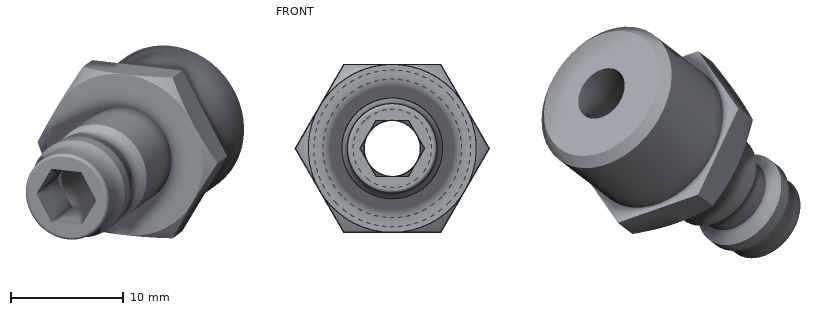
import cadquery as cq
import math


SHANK_LENGTH = 9.0
HEX_LENGTH = 3.0
STEM_LENGTH = 6.0
GROOVE_FLOOR_LENGTH = 2.0
SPIGOT_LENGTH = 14.0
TIP_LAND_LENGTH = 1.0

SHANK_DIAMETER = 14.0
HEX_ACROSS_FLATS = 15.0
STEM_DIAMETER = 9.0
GROOVE_DIAMETER = 7.0
TIP_DIAMETER = 8.0
BORE_DIAMETER = 5.0
SOCKET_ACROSS_FLATS = 5.0
SOCKET_DEPTH = 5.0

SHANK_CHAMFER = 0.812
HEX_BEVEL_ANGLE = 30.0
TIP_FILLET = 0.3
FLARE_RADIUS = 3.5

HEX_FRONT_Y = SPIGOT_LENGTH
HEX_BACK_Y = HEX_FRONT_Y + HEX_LENGTH
SHANK_END_Y = HEX_BACK_Y + SHANK_LENGTH
STEM_FRONT_Y = HEX_FRONT_Y - STEM_LENGTH

STEM_RADIUS = STEM_DIAMETER / 2
GROOVE_RADIUS = GROOVE_DIAMETER / 2
GROOVE_DEPTH = STEM_RADIUS - GROOVE_RADIUS
GROOVE_BACK_Y = STEM_FRONT_Y - GROOVE_DEPTH
GROOVE_FRONT_Y = GROOVE_BACK_Y - GROOVE_FLOOR_LENGTH
COLLAR_BACK_Y = GROOVE_FRONT_Y - GROOVE_DEPTH

TIP_RADIUS = TIP_DIAMETER / 2
FLARE_ANGLE = math.acos(1 - (STEM_RADIUS - TIP_RADIUS) / FLARE_RADIUS)
COLLAR_FRONT_Y = TIP_LAND_LENGTH + FLARE_RADIUS * math.sin(FLARE_ANGLE)


def flare_point(angle):
    """Point (radius, Y) on the flare arc, at an angle from the tip land."""
    radius = TIP_RADIUS + FLARE_RADIUS * (1 - math.cos(angle))
    y = TIP_LAND_LENGTH + FLARE_RADIUS * math.sin(angle)
    return (radius, y)


def revolve_about_y(profile):
    """Close a half profile along the axis and turn it about Y."""
    return profile.close().revolve(360, (0, 0, 0), (0, 1, 0))


def hex_prism(across_flats, start_y, length):
    """Hexagonal prism along Y with corners on +X and -X."""
    half_side_angle = math.pi / 6
    across_corners = across_flats / math.cos(half_side_angle)
    section = cq.Workplane("XZ", origin=(0, start_y, 0)).polygon(6, across_corners)
    return section.extrude(-length)


def make_spigot():
    """Stem, groove, collar, flare and tip, turned as one profile."""
    fillet_mid = TIP_FILLET * (1 - math.sqrt(0.5))
    profile = (
        cq.Workplane("XY")
        .moveTo(0, 0)
        .lineTo(TIP_RADIUS - TIP_FILLET, 0)
        .threePointArc((TIP_RADIUS - fillet_mid, fillet_mid), (TIP_RADIUS, TIP_FILLET))
        .lineTo(TIP_RADIUS, TIP_LAND_LENGTH)
        .threePointArc(flare_point(FLARE_ANGLE / 2), (STEM_RADIUS, COLLAR_FRONT_Y))
        .lineTo(STEM_RADIUS, COLLAR_BACK_Y)
        .lineTo(GROOVE_RADIUS, GROOVE_FRONT_Y)
        .lineTo(GROOVE_RADIUS, GROOVE_BACK_Y)
        .lineTo(STEM_RADIUS, STEM_FRONT_Y)
        .lineTo(STEM_RADIUS, HEX_FRONT_Y)
        .lineTo(0, HEX_FRONT_Y)
    )
    return revolve_about_y(profile)


def make_hex_flange():
    """Hexagon whose front corners are turned down to a circle touching the flats."""
    face_radius = HEX_ACROSS_FLATS / 2
    back_radius = face_radius + HEX_LENGTH / math.tan(math.radians(HEX_BEVEL_ANGLE))
    bevel_cone = revolve_about_y(
        cq.Workplane("XY")
        .moveTo(0, HEX_FRONT_Y)
        .lineTo(face_radius, HEX_FRONT_Y)
        .lineTo(back_radius, HEX_BACK_Y)
        .lineTo(0, HEX_BACK_Y)
    )
    return hex_prism(HEX_ACROSS_FLATS, HEX_FRONT_Y, HEX_LENGTH).intersect(bevel_cone)


def make_shank():
    section = cq.Workplane("XZ", origin=(0, HEX_BACK_Y, 0)).circle(SHANK_DIAMETER / 2)
    shank = section.extrude(-SHANK_LENGTH)
    return shank.faces(">Y").chamfer(SHANK_CHAMFER)


def make_bore():
    return cq.Workplane("XZ").circle(BORE_DIAMETER / 2).extrude(-SHANK_END_Y)


body = make_spigot().union(make_hex_flange()).union(make_shank())
socket = hex_prism(SOCKET_ACROSS_FLATS, 0, SOCKET_DEPTH)
result = body.cut(make_bore()).cut(socket)